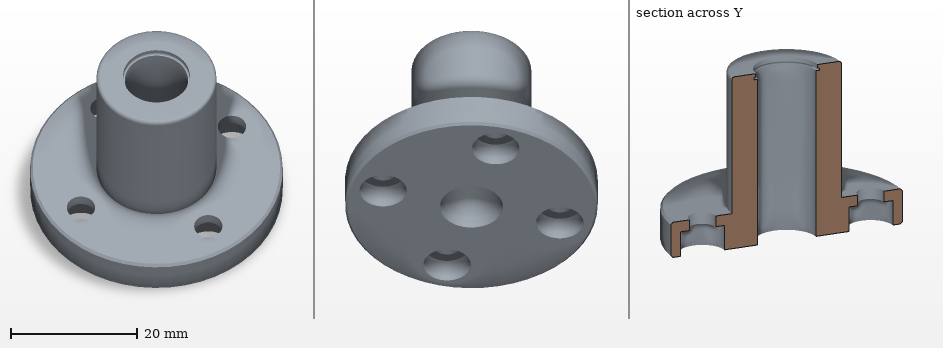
import cadquery as cq

flange_diameter = 40
flange_thickness = 6
flange_chamfer = 0.4

total_height = 29.0
barrel_diameter = 19.0
barrel_fillet = 0.6

bore_diameter = 10
mouth_diameter = 10.6
mouth_depth = 1.0
lip_thickness = 0.7
groove_diameter = 11.2

hole_count = 4
hole_diameter = 4.5
hole_circle_diameter = 29.0
counterbore_diameter = 7.5
counterbore_depth = 4.1


def make_flange():
    disc = cq.Workplane("XY").circle(flange_diameter / 2).extrude(flange_thickness)
    return disc.faces("<Z or >Z").edges().chamfer(flange_chamfer)


def make_barrel():
    barrel = cq.Workplane("XY").circle(barrel_diameter / 2).extrude(total_height)
    return barrel.faces(">Z").edges().fillet(barrel_fillet)


def make_bore():
    bore = cq.Workplane("XY").circle(bore_diameter / 2).extrude(total_height)
    mouth = (
        cq.Workplane("XY", origin=(0, 0, total_height - mouth_depth))
        .circle(mouth_diameter / 2)
        .extrude(mouth_depth)
    )
    groove = (
        cq.Workplane("XY", origin=(0, 0, total_height - mouth_depth))
        .circle(groove_diameter / 2)
        .extrude(mouth_depth - lip_thickness)
    )
    return bore.union(mouth).union(groove)


def make_mounting_holes():
    centres = cq.Workplane("XY").polarArray(hole_circle_diameter / 2, 0, 360, hole_count)
    through_holes = centres.circle(hole_diameter / 2).extrude(flange_thickness)
    counterbores = centres.circle(counterbore_diameter / 2).extrude(counterbore_depth)
    return through_holes.union(counterbores)


result = make_flange().union(make_barrel()).cut(make_bore()).cut(make_mounting_holes())